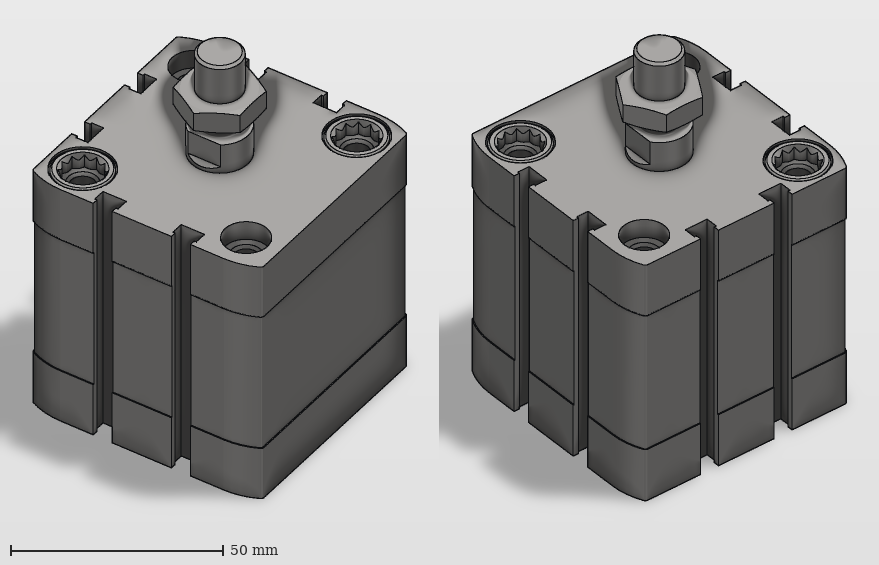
import cadquery as cq
import math

housing_side = 65.5
housing_height = 69.8
cap_height = 15.1
barrel_inset = 0.3
half_side = housing_side / 2

corner_arc_radius = 20.0
corner_arc_width = 9.5
corner_fillet = 1.0

slot_offset = 11.1
slot_mouth_width = 5.4
slot_inner_width = 6.6
slot_lip = 1.6
slot_depth = 5.0

hole_offset = 23.2
hole_diameter = 6.6
hole_mouth_diameter = 8.1
counterbore_diameter = 12.0
counterbore_depth = 5.3

collar_bore_diameter = 16.4
collar_diameter = 15.5
collar_face_diameter = 14.6
collar_groove_depth = 0.7
socket_point_diameter = 11.7
socket_root_diameter = 10.6
socket_mouth_diameter = 12.3
socket_cone_depth = 1.6
socket_depth = 4.2

overall_height = 100.2
rod_diameter = 16.0
rod_top = 78.4
rod_flat_width = 13.0
rod_flat_bottom = housing_height + 1.9
rod_flat_run_out = 0.9
neck_diameter = 10.4
neck_top = 79.9
neck_fillet = 0.6
thread_diameter = 12.0
thread_bottom = 82.3
thread_chamfer = 0.7

nut_across_flats = 19.0
nut_height = 6.0
nut_bottom = 83.2
nut_face_diameter = 18.6
nut_chamfer_angle = 15.0


def cylinder(diameter, bottom, height):
    return cq.Workplane("XY").workplane(offset=bottom).circle(diameter / 2).extrude(height)


def cone(bottom_diameter, top_diameter, bottom, height):
    return cq.Workplane(
        cq.Solid.makeCone(bottom_diameter / 2, top_diameter / 2, height, pnt=cq.Vector(0, 0, bottom))
    )


def hexagon(across_corners, bottom, height, turn):
    """Hexagonal prism with two corners on X, then turned about Z by the given angle."""
    solid = cq.Workplane("XY").workplane(offset=bottom).polygon(6, across_corners).extrude(height)
    return solid.rotate((0, 0, 0), (0, 0, 1), turn)


def block(inset, bottom, height):
    """Block with four arced corners, with every face moved inwards by the inset."""
    half = half_side - inset
    radius = corner_arc_radius - inset
    arc_start = half_side - corner_arc_width
    arc_center = half_side - corner_arc_radius

    def on_arc(x):
        return arc_center + math.sqrt(radius**2 - (x - arc_start) ** 2)

    arc_middle = (arc_start + half) / 2
    profile = (
        cq.Workplane("XY")
        .workplane(offset=bottom)
        .moveTo(-arc_start, half)
        .lineTo(arc_start, half)
        .threePointArc((arc_middle, on_arc(arc_middle)), (half, on_arc(half)))
        .lineTo(half, -on_arc(half))
        .threePointArc((arc_middle, -on_arc(arc_middle)), (arc_start, -half))
        .lineTo(-arc_start, -half)
        .threePointArc((-arc_middle, -on_arc(arc_middle)), (-half, -on_arc(half)))
        .lineTo(-half, on_arc(half))
        .threePointArc((-arc_middle, on_arc(arc_middle)), (-arc_start, half))
        .close()
    )
    return profile.extrude(height).edges("|Z and (<X or >X)").fillet(corner_fillet - inset)


def t_slot(offset, turn):
    """Cutter for a slot in the -Y face, turned about Z to the face it belongs to."""
    mouth = cq.Workplane("XY").box(
        slot_mouth_width, slot_depth, housing_height, centered=(True, False, False)
    )
    chamber = cq.Workplane("XY").box(
        slot_inner_width, slot_depth - slot_lip, housing_height, centered=(True, False, False)
    )
    slot = mouth.union(chamber.translate((0, slot_lip, 0)))
    return slot.translate((offset, -half_side, 0)).rotate((0, 0, 0), (0, 0, 1), turn)


def mounting_hole(seat_depth):
    """Cutter for a through hole with a chamfered mouth at the given depth."""
    seat = housing_height - seat_depth
    mouth_depth = (hole_mouth_diameter - hole_diameter) / 2
    mouth = cone(hole_diameter, hole_mouth_diameter, seat - mouth_depth, mouth_depth)
    return cylinder(hole_diameter, 0, housing_height).union(mouth)


def counterbored_hole():
    seat = housing_height - counterbore_depth
    return mounting_hole(counterbore_depth).union(
        cylinder(counterbore_diameter, seat, counterbore_depth)
    )


def collar_groove():
    """Cutter for the ring gap around a collar screw head, including the chamfer of the head."""
    floor = housing_height - collar_groove_depth
    chamfer = (collar_diameter - collar_face_diameter) / 2
    head = cylinder(collar_diameter, floor, collar_groove_depth - chamfer)
    rim = cone(collar_diameter, collar_face_diameter, housing_height - chamfer, chamfer)
    return cylinder(collar_bore_diameter, floor, collar_groove_depth).cut(head).cut(rim)


def collar_socket():
    """Cutter for the twelve-point socket of a collar screw, with the hole through its floor."""
    floor = housing_height - socket_depth
    socket = cylinder(socket_root_diameter, floor, socket_depth)
    for turn in (0, 30):
        socket = socket.union(hexagon(socket_point_diameter, floor, socket_depth, turn))
    cone_bottom = housing_height - socket_cone_depth
    mouth = cone(socket_root_diameter, socket_mouth_diameter, cone_bottom, socket_cone_depth)
    return socket.union(mouth).union(mounting_hole(socket_depth))


def make_housing():
    housing = block(0, 0, housing_height)
    barrel_height = housing_height - 2 * cap_height
    sleeve = block(0, cap_height, barrel_height).cut(block(barrel_inset, cap_height, barrel_height))
    housing = housing.cut(sleeve)
    for turn in (0, 180, 270):
        for offset in (-slot_offset, slot_offset):
            housing = housing.cut(t_slot(offset, turn))
    for side in (-1, 1):
        plain_corner = (side * hole_offset, -side * hole_offset, 0)
        screw_corner = (side * hole_offset, side * hole_offset, 0)
        housing = housing.cut(counterbored_hole().translate(plain_corner))
        housing = housing.cut(collar_groove().translate(screw_corner))
        housing = housing.cut(collar_socket().translate(screw_corner))
    return housing


def make_rod():
    """Rod end standing on the housing: wrench flats, undercut neck and chamfered thread."""
    rod = (
        cq.Workplane("XZ")
        .moveTo(0, housing_height)
        .lineTo(rod_diameter / 2, housing_height)
        .lineTo(rod_diameter / 2, rod_top)
        .lineTo(neck_diameter / 2, rod_top)
        .lineTo(neck_diameter / 2, neck_top)
        .lineTo(thread_diameter / 2, thread_bottom)
        .lineTo(thread_diameter / 2, overall_height - thread_chamfer)
        .lineTo(thread_diameter / 2 - thread_chamfer, overall_height)
        .lineTo(0, overall_height)
        .close()
        .revolve(360, (0, 0, 0), (0, 1, 0))
    )
    rod = rod.edges(cq.selectors.RadiusNthSelector(0)).fillet(neck_fillet)
    flat_cutter = (
        cq.Workplane("YZ")
        .moveTo(rod_flat_width / 2, rod_top)
        .lineTo(rod_flat_width / 2, rod_flat_bottom)
        .lineTo(rod_diameter / 2, rod_flat_bottom - rod_flat_run_out)
        .lineTo(rod_diameter / 2, rod_top)
        .close()
        .extrude(rod_diameter / 2, both=True)
    )
    return rod.cut(flat_cutter).cut(flat_cutter.mirror("XZ"))


def make_nut():
    """Hexagon nut with chamfered corners on both faces, its corners along Y."""
    slope = math.tan(math.radians(nut_chamfer_angle))
    across_corners = nut_across_flats / math.cos(math.radians(30))
    outer = across_corners / 2
    chamfer_drop = (outer - nut_face_diameter / 2) * slope
    envelope = (
        cq.Workplane("XZ")
        .moveTo(0, nut_bottom)
        .lineTo(nut_face_diameter / 2, nut_bottom)
        .lineTo(outer, nut_bottom + chamfer_drop)
        .lineTo(outer, nut_bottom + nut_height - chamfer_drop)
        .lineTo(nut_face_diameter / 2, nut_bottom + nut_height)
        .lineTo(0, nut_bottom + nut_height)
        .close()
        .revolve(360, (0, 0, 0), (0, 1, 0))
    )
    nut = hexagon(across_corners, nut_bottom, nut_height, 30).intersect(envelope)
    return nut.cut(cylinder(thread_diameter, nut_bottom, nut_height))


housing = make_housing()
rod = make_rod()
nut = make_nut()

result = cq.Compound.makeCompound([housing.val(), rod.val(), nut.val()])